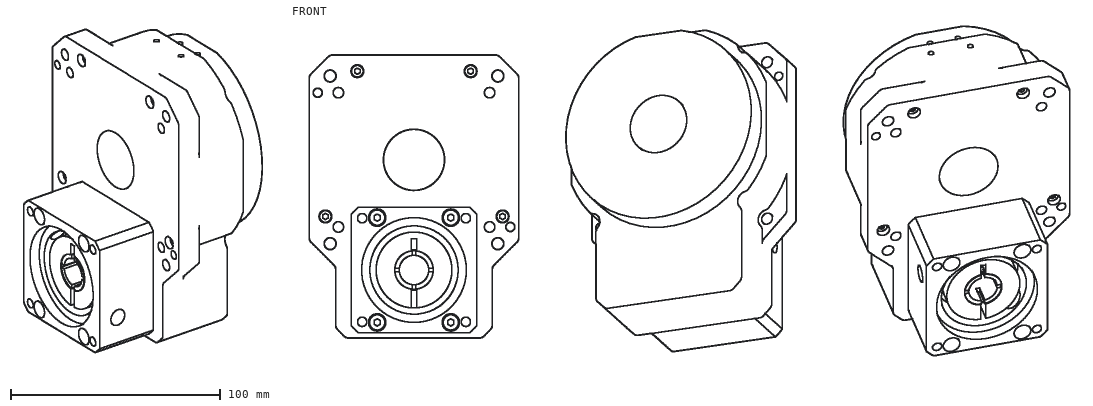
import cadquery as cq
import math


plate_width = 100.0
plate_height = 135.0
plate_depth = 12.3
plate_half = plate_width / 2
plate_bottom = plate_half - plate_height
corner_cut = 10.0
shoulder_top = -38.3
tail_half = 37.4
tail_cut = 5.0
edge_radius = 3.0
main_bore_dia = 29.0

body_depth = 26.3
body_back = plate_depth + body_depth
body_radius = 53.5
notch_radius = 4.6

disc_depth = 13.1
disc_back = body_back + disc_depth
disc_radius = 47.7
disc_flat = 46.2

through_offset = 40.0
through_dia = 5.5
dowel_x = 45.9
dowel_z = 32.0
dowel_dia = 4.2
thread_x = 36.0
thread_z = 32.0
thread_dia = 5.0
thread_depth = 12.2
drill_tip_angle = 118

plate_screw_near = 27.0
plate_screw_far = 42.3
plate_screw_hole = 6.1
plate_screw_head = 5.5
plate_screw_socket = 2.5
plate_screw_sink = 2.8
plate_screw_head_height = 3.0

top_hole_dia = 2.5
top_hole_depth = 5.4
disc_hole_x = 6.9
disc_hole_from_back = 8.0
body_hole_x = 9.7
body_hole_from_back = 6.8

block_size = 60.0
block_depth = 32.3
block_z = -52.5
block_corner_radius = 40.0
block_front = -block_depth

pilot_radius = 25.0
pilot_depth = 5.5
cavity_radius = 21.0
cavity_depth = 20.2
hub_radius = 18.1
hub_sink = 6.5
sleeve_radius = 9.2
sleeve_recess = 0.4
sleeve_sink = hub_sink + sleeve_recess
sleeve_bore_radius = 7.0
sleeve_bore_depth = 24.3
sleeve_slit_width = 1.8
sleeve_slit_length = 9.5
hub_slot_width = 2.5
hub_slot_start = 9.7
hub_slot_top = 15.0
hub_slot_depth = 9.5
hub_slot_step_depth = 2.0

access_dia = 8.2
access_from_front = 11.0
access_z = 13.0
block_thread_offset = 24.7
block_thread_dia = 4.5
block_thread_depth = 12.2
block_screw_x = 17.5
block_screw_z = 25.0
block_screw_hole = 8.2
block_screw_head = 7.3
block_screw_socket = 3.0
block_screw_sink = 24.3
block_screw_head_height = 4.0


def front_plane(y, z=0.0):
    """Plane facing -Y at depth y; a negative extrusion goes back into the part."""
    return cq.Workplane("XZ", origin=(0, y, z))


def mirrored(x, z):
    """The four points at plus and minus x and z."""
    return [(sx * x, sz * z) for sx in (-1, 1) for sz in (-1, 1)]


def bore(points, diameter, y, depth, z=0.0):
    """Round cutters running back from depth y at points measured from height z."""
    return front_plane(y, z).pushPoints(points).circle(diameter / 2).extrude(-depth)


def drill(diameter, depth, start, direction):
    """Cutter for a blind hole with a pointed end."""
    radius = diameter / 2
    axis = cq.Vector(*direction)
    tip_height = radius / math.tan(math.radians(drill_tip_angle / 2))
    shank = cq.Solid.makeCylinder(radius, depth, cq.Vector(*start), axis)
    tip = cq.Solid.makeCone(radius, 0, tip_height, cq.Vector(*start) + axis * depth, axis)
    return cq.Workplane(shank).union(cq.Workplane(tip))


def sink_screws(part, points, y, z, hole, head, socket, sink, head_height):
    """Counterbored holes with a hexagon socket screw head standing on each floor."""
    part = part.cut(bore(points, hole, y, sink + head_height, z))
    heads = bore(points, head, y + sink, head_height, z)
    hexagon = cq.Sketch().regularPolygon(socket / math.sqrt(3), 6)
    sockets = front_plane(y + sink, z).pushPoints(points).placeSketch(hexagon).extrude(-head_height / 2)
    return part.union(heads).cut(sockets)


def make_plate():
    right_side = [
        (plate_half - corner_cut, plate_half),
        (plate_half, plate_half - corner_cut),
        (plate_half, shoulder_top),
        (tail_half, shoulder_top - (plate_half - tail_half)),
        (tail_half, plate_bottom + tail_cut),
        (tail_half - tail_cut, plate_bottom),
    ]
    left_side = [(-x, z) for x, z in reversed(right_side)]
    plate = front_plane(0).polyline(right_side + left_side).close().extrude(-plate_depth)
    return plate.edges("|Y").fillet(edge_radius)


def make_body():
    square = front_plane(plate_depth).rect(plate_width, plate_width).extrude(-body_depth)
    body = bore([(0, 0)], 2 * body_radius, plate_depth, body_depth).intersect(square)
    tail_outline = [
        (-tail_half, 0),
        (tail_half, 0),
        (tail_half, plate_bottom + tail_cut),
        (tail_half - tail_cut, plate_bottom),
        (tail_cut - tail_half, plate_bottom),
        (-tail_half, plate_bottom + tail_cut),
    ]
    tail = front_plane(plate_depth).polyline(tail_outline).close().extrude(-body_depth)
    notches = bore(mirrored(through_offset, through_offset), 2 * notch_radius, plate_depth, body_depth)
    body = body.union(tail).cut(notches)
    return body.edges("|Y").fillet(edge_radius)


def make_disc():
    disc = bore([(0, 0)], 2 * disc_radius, body_back, disc_depth)
    below_flat = cq.Workplane().box(
        2 * disc_radius, disc_depth, 2 * disc_radius, centered=(True, False, False)
    )
    return disc.intersect(below_flat.translate((0, body_back, disc_flat - 2 * disc_radius)))


def make_block():
    block = front_plane(0, block_z).rect(block_size, block_size).extrude(block_depth)
    turned = front_plane(0, block_z).circle(block_corner_radius).extrude(block_depth)
    return block.intersect(turned)


def add_hub(part):
    part = part.cut(bore([(0, 0)], 2 * pilot_radius, block_front, pilot_depth, block_z))
    part = part.cut(bore([(0, 0)], 2 * cavity_radius, block_front, cavity_depth, block_z))
    for side in (-1, 1):
        access = cq.Solid.makeCylinder(
            access_dia / 2,
            block_size / 2,
            cq.Vector(0, block_front + access_from_front, block_z - side * access_z),
            cq.Vector(side, 0, 0),
        )
        part = part.cut(cq.Workplane(access))
    hub_front = block_front + hub_sink
    sleeve_front = block_front + sleeve_sink
    part = part.union(bore([(0, 0)], 2 * hub_radius, hub_front, block_depth - hub_sink, block_z))
    part = part.cut(bore([(0, 0)], 2 * sleeve_radius, hub_front, sleeve_recess, block_z))
    part = part.cut(bore([(0, 0)], 2 * sleeve_bore_radius, block_front, sleeve_bore_depth, block_z))
    for inner, outer in ((hub_slot_start, hub_slot_top), (-hub_slot_start, -hub_radius)):
        slot = front_plane(hub_front, block_z).center(0, (inner + outer) / 2)
        part = part.cut(slot.rect(hub_slot_width, abs(outer - inner)).extrude(-hub_slot_depth))
    step = front_plane(hub_front, block_z).rect(hub_slot_width, 2 * hub_slot_start)
    sleeve = bore([(0, 0)], 2 * sleeve_radius, hub_front, hub_slot_step_depth, block_z)
    part = part.cut(step.extrude(-hub_slot_step_depth).cut(sleeve))
    for width, height in ((sleeve_slit_width, 2 * sleeve_radius), (2 * sleeve_radius, sleeve_slit_width)):
        slit = front_plane(sleeve_front, block_z).rect(width, height).extrude(-sleeve_slit_length)
        part = part.cut(slit)
    return part


def cut_plate_holes(part):
    part = part.cut(bore([(0, 0)], main_bore_dia, 0, disc_back))
    part = part.cut(bore(mirrored(through_offset, through_offset), through_dia, 0, plate_depth))
    part = part.cut(bore([(-dowel_x, dowel_z), (dowel_x, -dowel_z)], dowel_dia, 0, plate_depth))
    for x, z in mirrored(thread_x, thread_z):
        part = part.cut(drill(thread_dia, thread_depth, (x, 0, z), (0, 1, 0)))
    return part


def cut_block_threads(part):
    for x, z in mirrored(block_thread_offset, block_thread_offset):
        start = (x, block_front, block_z + z)
        part = part.cut(drill(block_thread_dia, block_thread_depth, start, (0, 1, 0)))
    return part


def cut_top_holes(part):
    for side in (-1, 1):
        disc_start = (side * disc_hole_x, disc_back - disc_hole_from_back, disc_flat)
        body_start = (side * body_hole_x, body_back - body_hole_from_back, plate_half)
        for start in (disc_start, body_start):
            part = part.cut(drill(top_hole_dia, top_hole_depth, start, (0, 0, -1)))
    return part


result = make_plate().union(make_body()).union(make_disc()).union(make_block())
result = add_hub(result)
result = cut_plate_holes(result)
result = cut_block_threads(result)
result = cut_top_holes(result)
plate_screws = [(side * plate_screw_near, plate_screw_far) for side in (-1, 1)]
plate_screws += [(side * plate_screw_far, -plate_screw_near) for side in (-1, 1)]
result = sink_screws(
    result,
    plate_screws,
    y=0,
    z=0,
    hole=plate_screw_hole,
    head=plate_screw_head,
    socket=plate_screw_socket,
    sink=plate_screw_sink,
    head_height=plate_screw_head_height,
)
result = sink_screws(
    result,
    mirrored(block_screw_x, block_screw_z),
    y=block_front,
    z=block_z,
    hole=block_screw_hole,
    head=block_screw_head,
    socket=block_screw_socket,
    sink=block_screw_sink,
    head_height=block_screw_head_height,
)